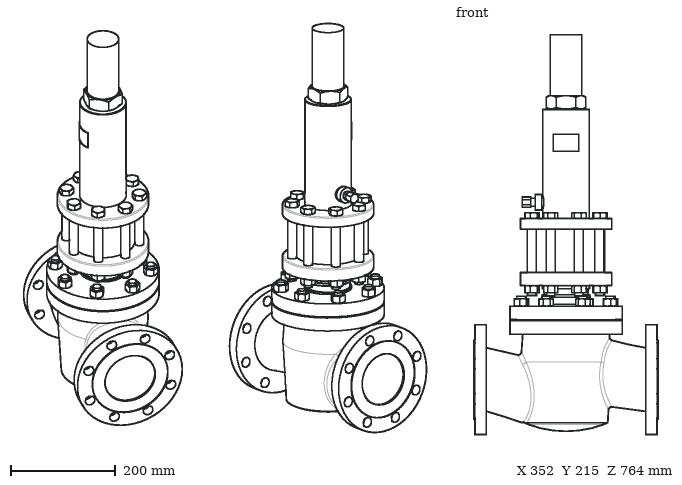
import cadquery as cq
import math


FACE_TO_FACE = 352.0
TOTAL_HEIGHT = 764.0

PIPE_FLANGE_DIA = 210.0
PIPE_FLANGE_THICK = 22.0
RAISED_FACE_DIA = 151.0
RAISED_FACE_THICK = 2.0
BORE_DIA = 100.6
BORE_RECESS = 4.0
PIPE_HOLE_DIA = 19.0
PIPE_HOLE_CIRCLE = 175.0

BRANCH_DIA = 122.0
BRANCH_END_X = FACE_TO_FACE / 2 - RAISED_FACE_THICK - PIPE_FLANGE_THICK
BRANCH_MIDDLE_X = 100.0
BRANCH_INNER_X = 62.0
BRANCH_MIDDLE_HEIGHT = 126.0
BRANCH_INNER_HEIGHT = 132.0
BRANCH_INNER_WIDTH = 105.0
INLET_MIDDLE_SHIFT = -14.0
INLET_INNER_SHIFT = -25.0
OUTLET_MIDDLE_SHIFT = 9.0
OUTLET_INNER_SHIFT = 17.0
BRANCH_BLEND = 6.0

BOWL_NECK_R = 83.0
BOWL_MAX_R = 86.5
BOWL_BASE_R = 80.0
BOWL_SEAM_Z = 34.0
BOWL_BASE_Z = -82.0
BOWL_BOTTOM_Z = -99.0
BOWL_CORNER_WIDTH = 7.0
BOWL_CORNER_DROP = 3.5
BOWL_RUN_ON_Z = -110.0
BOWL_TRIM_R = 95.0

BODY_FLANGE_DIA = 215.0
BODY_FLANGE_BOTTOM_Z = 86.5
BODY_FLANGE_TOP_Z = 140.5
GASKET_DIA = 154.9
GASKET_THICK = 2.0
BODY_STUD_CIRCLE = 184.0

NECK_DIA = 90.0
NECK_WAIST_DIA = 84.0
NECK_LIP_Z = 174.0
NECK_FOOT_Z = 144.0
NECK_COLLAR_BOTTOM_Z = 157.0
NECK_COLLAR_TOP_Z = 162.0

YOKE_FLANGE_DIA = 175.0
YOKE_FLANGE_ROUND = 2.0
YOKE_BOTTOM_Z = 179.5
YOKE_LOWER_TOP_Z = 205.0
YOKE_UPPER_BOTTOM_Z = 287.0
YOKE_TOP_Z = 308.0
DRUM_DIA = 122.0
COLUMN_DIA = 17.3
YOKE_BOLT_CIRCLE = 140.5

BOLT_COUNT = 8
BOLT_START_ANGLE = 20.5
HEX_FLATS = 24.0
HEX_CHAMFER_SLOPE = math.tan(math.radians(30))
STUD_DIA = 16.0
BOLT_HEAD_HEIGHT = 11.0
NUT_HEIGHT = 14.0
STUD_PROTRUSION = 5.0

CASE_DIA = 89.1
CASE_TOP_Z = 517.0
CASE_CHAMFER = 1.0
LOCK_NUT_FLATS = 66.0
LOCK_NUT_TOP_Z = 542.5
CAP_DIA = 60.5
CAP_TOP_Z = TOTAL_HEIGHT - PIPE_FLANGE_DIA / 2

PLATE_WIDTH = 49.0
PLATE_HEIGHT = 33.0
PLATE_CENTER_Z = 452.5
PLATE_THICK = 1.0

VENT_Z = 339.0
VENT_COLLAR_DIA = 30.0
VENT_COLLAR_INNER_X = 46.0
VENT_BASE_DIA = 28.0
VENT_COLLAR_OUTER_X = 59.0
VENT_STEM_DIA = 16.0
VENT_NUT_FLATS = 17.3
VENT_NUT_INNER_X = 67.0
VENT_OUTER_X = 84.0


def disc(diameter, bottom_z, top_z):
    return cq.Workplane("XY").workplane(offset=bottom_z).circle(diameter / 2).extrude(top_z - bottom_z)


def side_disc(diameter, start_x, end_x, z=0.0):
    return cq.Workplane("YZ", origin=(start_x, 0, z)).circle(diameter / 2).extrude(end_x - start_x)


def hex_prism(flats, bottom_z, top_z):
    """Hexagon with its corners turned down to a cone at both ends."""
    corners = flats / math.cos(math.pi / 6)
    prism = cq.Workplane("XY").workplane(offset=bottom_z).polygon(6, corners).extrude(top_z - bottom_z)
    turned_depth = (corners - flats) / 2
    envelope = disc(corners, bottom_z, top_z).edges().chamfer(turned_depth * HEX_CHAMFER_SLOPE, turned_depth)
    return prism.intersect(envelope)


def bolt_ring(shape, circle):
    """Copies of a shape built on the Z axis, spread around a bolt circle."""
    ring = cq.Workplane("XY")
    for i in range(BOLT_COUNT):
        angle = BOLT_START_ANGLE + i * 360 / BOLT_COUNT
        ring = ring.add(shape.translate((circle / 2, 0, 0)).rotate((0, 0, 0), (0, 0, 1), angle))
    return ring.combine()


def pipe_flange():
    """Outlet flange, with its raised face toward +X."""
    back_x = BRANCH_END_X
    face_x = back_x + PIPE_FLANGE_THICK
    end_x = FACE_TO_FACE / 2
    flange = side_disc(PIPE_FLANGE_DIA, back_x, face_x)
    flange = flange.union(side_disc(RAISED_FACE_DIA, face_x, end_x))
    flange = flange.cut(side_disc(BORE_DIA, end_x - BORE_RECESS, end_x))
    holes = (
        cq.Workplane("YZ", origin=(back_x, 0, 0))
        .polarArray(PIPE_HOLE_CIRCLE / 2, -BOLT_START_ANGLE, 360, BOLT_COUNT)
        .circle(PIPE_HOLE_DIA / 2)
        .extrude(PIPE_FLANGE_THICK)
    )
    return flange.cut(holes)


def branch(side, middle_shift, inner_shift):
    """Curved pipe from an end flange into the bowl; side is -1 for the inlet, +1 for the outlet."""
    sections = (
        (BRANCH_END_X, 0, BRANCH_DIA, BRANCH_DIA),
        (BRANCH_MIDDLE_X, middle_shift, BRANCH_DIA, BRANCH_MIDDLE_HEIGHT),
        (BRANCH_INNER_X, inner_shift, BRANCH_INNER_WIDTH, BRANCH_INNER_HEIGHT),
    )
    wires = []
    for x, shift, width, height in sections:
        plane = cq.Plane(origin=(side * x, 0, shift), xDir=(0, 0, 1), normal=(1, 0, 0))
        wires.append(cq.Workplane(plane).ellipse(height / 2, width / 2).wire().val())
    return cq.Workplane(cq.Solid.makeLoft(wires))


def bowl():
    """Solid of revolution, running on below its base so that the branches can be blended in first."""
    taper = (BOWL_MAX_R - BOWL_BASE_R) / (BOWL_SEAM_Z - BOWL_BASE_Z)
    run_on_r = BOWL_BASE_R - taper * (BOWL_BASE_Z - BOWL_RUN_ON_Z)
    profile = (
        cq.Workplane("XZ")
        .moveTo(0, BOWL_RUN_ON_Z)
        .lineTo(run_on_r, BOWL_RUN_ON_Z)
        .lineTo(BOWL_MAX_R, BOWL_SEAM_Z)
        .lineTo(BOWL_NECK_R, BODY_FLANGE_BOTTOM_Z)
        .lineTo(0, BODY_FLANGE_BOTTOM_Z)
        .close()
    )
    return profile.revolve(360, (0, 0, 0), (0, 1, 0))


def bowl_bottom_trim():
    """Everything to remove below the base edge and the domed bottom of the bowl."""
    corner_z = BOWL_BASE_Z - BOWL_CORNER_DROP
    dome_rim_r = BOWL_BASE_R - BOWL_CORNER_WIDTH
    dome_r = (dome_rim_r**2 + (corner_z - BOWL_BOTTOM_Z) ** 2) / (2 * (corner_z - BOWL_BOTTOM_Z))
    middle_r = dome_rim_r / 2
    middle_z = BOWL_BOTTOM_Z + dome_r - math.sqrt(dome_r**2 - middle_r**2)
    profile = (
        cq.Workplane("XZ")
        .moveTo(0, BOWL_BOTTOM_Z)
        .threePointArc((middle_r, middle_z), (dome_rim_r, corner_z))
        .lineTo(BOWL_BASE_R, BOWL_BASE_Z)
        .lineTo(BOWL_TRIM_R, BOWL_BASE_Z)
        .lineTo(BOWL_TRIM_R, BOWL_RUN_ON_Z)
        .lineTo(0, BOWL_RUN_ON_Z)
        .close()
    )
    return profile.revolve(360, (0, 0, 0), (0, 1, 0))


def body():
    casting = bowl()
    casting = casting.union(branch(-1, INLET_MIDDLE_SHIFT, INLET_INNER_SHIFT))
    casting = casting.union(branch(1, OUTLET_MIDDLE_SHIFT, OUTLET_INNER_SHIFT))
    reach = BRANCH_END_X - BRANCH_BLEND
    between_flanges = cq.selectors.BoxSelector(
        (-reach, -BOWL_TRIM_R, BOWL_RUN_ON_Z), (reach, BOWL_TRIM_R, BODY_FLANGE_BOTTOM_Z)
    )
    seams = [edge for edge in casting.edges(between_flanges).vals() if edge.geomType() == "BSPLINE"]
    seams = [edge for edge in seams if edge.BoundingBox().ylen > BRANCH_BLEND]
    casting = casting.newObject(seams).fillet(BRANCH_BLEND)
    return casting.cut(bowl_bottom_trim())


def body_flanges():
    joint_z = (BODY_FLANGE_BOTTOM_Z + BODY_FLANGE_TOP_Z) / 2
    lower = disc(BODY_FLANGE_DIA, BODY_FLANGE_BOTTOM_Z, joint_z - GASKET_THICK / 2)
    gasket = disc(GASKET_DIA, joint_z - GASKET_THICK / 2, joint_z + GASKET_THICK / 2)
    upper = disc(BODY_FLANGE_DIA, joint_z + GASKET_THICK / 2, BODY_FLANGE_TOP_Z)
    nut_top_z = BODY_FLANGE_TOP_Z + NUT_HEIGHT
    nut = hex_prism(HEX_FLATS, BODY_FLANGE_TOP_Z, nut_top_z)
    stud = disc(STUD_DIA, BODY_FLANGE_BOTTOM_Z, nut_top_z + STUD_PROTRUSION)
    return lower.union(gasket).union(upper).union(bolt_ring(nut.union(stud), BODY_STUD_CIRCLE))


def neck():
    shape = disc(NECK_WAIST_DIA, NECK_FOOT_Z, NECK_LIP_Z)
    for bottom_z, top_z in (
        (BODY_FLANGE_TOP_Z, NECK_FOOT_Z),
        (NECK_COLLAR_BOTTOM_Z, NECK_COLLAR_TOP_Z),
        (NECK_LIP_Z, YOKE_BOTTOM_Z),
    ):
        shape = shape.union(disc(NECK_DIA, bottom_z, top_z))
    return shape


def yoke():
    lower = disc(YOKE_FLANGE_DIA, YOKE_BOTTOM_Z, YOKE_LOWER_TOP_Z).edges().fillet(YOKE_FLANGE_ROUND)
    upper = disc(YOKE_FLANGE_DIA, YOKE_UPPER_BOTTOM_Z, YOKE_TOP_Z).edges().fillet(YOKE_FLANGE_ROUND)
    drum = disc(DRUM_DIA, YOKE_LOWER_TOP_Z, YOKE_UPPER_BOTTOM_Z)
    nut_bottom_z = YOKE_BOTTOM_Z - NUT_HEIGHT
    head = hex_prism(HEX_FLATS, YOKE_TOP_Z, YOKE_TOP_Z + BOLT_HEAD_HEIGHT)
    column = disc(COLUMN_DIA, YOKE_LOWER_TOP_Z, YOKE_UPPER_BOTTOM_Z)
    nut = hex_prism(HEX_FLATS, nut_bottom_z, YOKE_BOTTOM_Z)
    stud = disc(STUD_DIA, nut_bottom_z - STUD_PROTRUSION, nut_bottom_z)
    bolts = bolt_ring(head.union(column).union(nut).union(stud), YOKE_BOLT_CIRCLE)
    return lower.union(upper).union(drum).union(bolts)


def spring_case():
    case = disc(CASE_DIA, YOKE_TOP_Z, CASE_TOP_Z).edges(">Z").chamfer(CASE_CHAMFER)
    lock_nut = hex_prism(LOCK_NUT_FLATS, CASE_TOP_Z, LOCK_NUT_TOP_Z)
    cap = disc(CAP_DIA, LOCK_NUT_TOP_Z, CAP_TOP_Z)
    return case.union(lock_nut).union(cap)


def name_plate():
    window = cq.Workplane("XY").box(PLATE_WIDTH, CASE_DIA, PLATE_HEIGHT)
    window = window.translate((0, -CASE_DIA / 2, PLATE_CENTER_Z))
    skin = disc(CASE_DIA + 2 * PLATE_THICK, YOKE_TOP_Z, CASE_TOP_Z)
    return skin.intersect(window)


def vent():
    base = side_disc(VENT_BASE_DIA, -VENT_COLLAR_INNER_X, 0, VENT_Z)
    collar = side_disc(VENT_COLLAR_DIA, -VENT_COLLAR_OUTER_X, -VENT_COLLAR_INNER_X, VENT_Z)
    stem = side_disc(VENT_STEM_DIA, -VENT_NUT_INNER_X, -VENT_COLLAR_OUTER_X, VENT_Z)
    nut = (
        cq.Workplane("YZ", origin=(-VENT_OUTER_X, 0, VENT_Z))
        .transformed(rotate=(0, 0, 90))
        .polygon(6, VENT_NUT_FLATS / math.cos(math.pi / 6))
        .extrude(VENT_OUTER_X - VENT_NUT_INNER_X)
    )
    return base.union(collar).union(stem).union(nut)


outlet_flange = pipe_flange()
inlet_flange = outlet_flange.mirror("YZ")
result = body()
sections = (outlet_flange, inlet_flange, body_flanges(), neck(), yoke(), spring_case(), name_plate(), vent())
for section in sections:
    result = result.union(section)